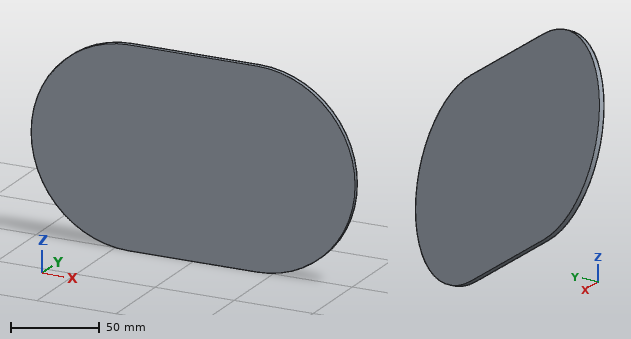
import cadquery as cq

length = 205.0
height = 124.0
thickness = 3.0

result = cq.Workplane("XZ").slot2D(length, height).extrude(thickness / 2, both=True)